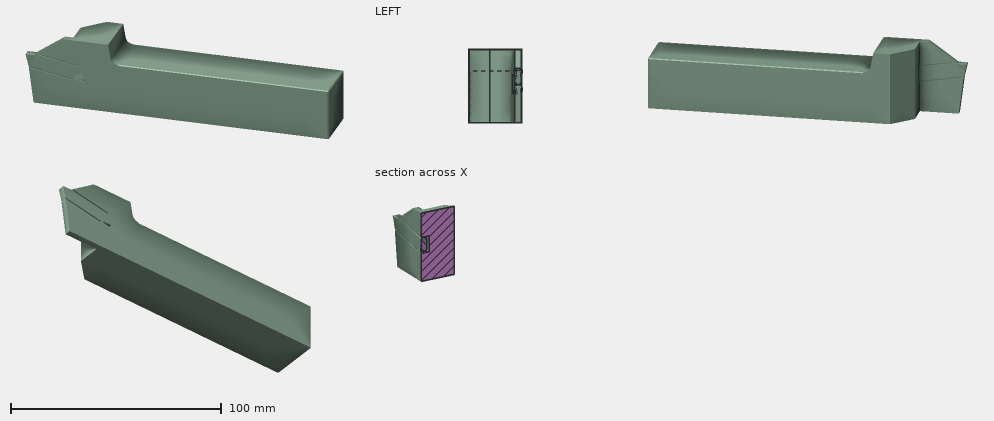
import cadquery as cq
import math

length = 150.0
shank_size = 25.0
shank_start = 45.6
edge_chamfer = 0.5
total_height = 35.0
head_top_start = 18.6
head_top_end = 40.8
back_wall_lean = 10.0
run_out_radius = 3.6
heel_x = 3.9
ramp_foot_x = 4.3

blade_thickness = 3.1
step_x = 22.6
step_corner_y = 15.0

insert_center = (14.47, 20.1)
insert_tilt = 10.0
tip_z = 24.9
flank_bottom = (1.3, 18.9)
rake_length = 4.3
tongue_height = 0.7
tongue_setback = 0.6
tongue_end_x = 23.0
nose_kink_z = 23.5
nose_foot_z = 21.6
nose_overhang = 0.3
pocket_depth = 4.5
pocket_end_clearance = 0.5

tilt_slope = math.tan(math.radians(insert_tilt))


def half_turn(point):
    """Opposite point of the two-ended insert."""
    return (2 * insert_center[0] - point[0], 2 * insert_center[1] - point[1])


def seat_z(x):
    """Height of the lower insert flank edge at x."""
    return flank_bottom[1] - (x - flank_bottom[0]) * tilt_slope


def plate(points, y_start, y_end):
    """Extrude an XZ outline between two Y positions."""
    return (
        cq.Workplane("XZ", origin=(0, y_start, 0))
        .polyline(points).close()
        .extrude(y_start - y_end)
    )


tip = (0.0, tip_z)
rake_end = (rake_length, tip_z)
ramp_slope = (total_height - tip_z) / (head_top_start - ramp_foot_x)
tongue_start_x = half_turn((tongue_end_x, 0))[0]
ramp_end = (tongue_start_x, tip_z + (tongue_start_x - rake_length) * ramp_slope)
upper_start = half_turn((tongue_end_x, seat_z(tongue_end_x)))
front_half = [flank_bottom, tip, rake_end, ramp_end, upper_start]
insert_outline = front_half + [half_turn(p) for p in front_half]

clearance_slope = flank_bottom[0] / (tip_z - flank_bottom[1])
tongue_front_x = flank_bottom[0] + tongue_height * clearance_slope
lower_tongue = [
    flank_bottom,
    (tongue_end_x, seat_z(tongue_end_x)),
    (tongue_end_x, seat_z(tongue_end_x) - tongue_height),
    (tongue_front_x, seat_z(tongue_front_x) - tongue_height),
]
upper_tongue = [half_turn(p) for p in lower_tongue]


def make_nose():
    """Front cutting nose, widest at the rake face and relieved downwards."""
    foot_x = (tip_z - nose_foot_z) * clearance_slope
    side = plate([tip, rake_end, (rake_length, nose_kink_z), (foot_x, nose_foot_z)],
                 -nose_overhang, blade_thickness + nose_overhang)
    relief = (
        cq.Workplane("YZ")
        .polyline([
            (-nose_overhang, tip_z),
            (blade_thickness + nose_overhang, tip_z),
            (blade_thickness, nose_foot_z),
            (0, nose_foot_z),
        ]).close()
        .extrude(rake_length)
    )
    return side.intersect(relief)


def make_insert():
    body = plate(insert_outline, 0, blade_thickness)
    for tongue in (lower_tongue, upper_tongue):
        body = body.union(plate(tongue, tongue_setback, blade_thickness - tongue_setback))
    nose = make_nose()
    axis_start = (insert_center[0], 0, insert_center[1])
    axis_end = (insert_center[0], 1, insert_center[1])
    return body.union(nose).union(nose.rotate(axis_start, axis_end, 180))


def make_pocket():
    """Recess for the insert and its tongues, open to the front of the blade."""
    rear_tip = half_turn(tip)
    corner_x = rear_tip[0] + pocket_end_clearance
    rear_clearance = [rear_tip, (corner_x, seat_z(corner_x)), (tongue_end_x, seat_z(tongue_end_x))]
    pocket = plate(insert_outline, 0, pocket_depth)
    pocket = pocket.union(plate(rear_clearance, 0, pocket_depth))
    for tongue in (lower_tongue, upper_tongue):
        pocket = pocket.union(plate(tongue, 0, pocket_depth))
    return pocket


def make_head():
    """Head with its front ramp, leaning back wall and concave run-out to the shank."""
    wall_slope = math.tan(math.radians(back_wall_lean))
    wall_foot_x = head_top_end + (total_height - shank_size) * wall_slope
    tongue_front = lower_tongue[-1]
    head = (
        cq.Workplane("XZ")
        .moveTo(heel_x, 0)
        .lineTo(*tongue_front)
        .lineTo(*flank_bottom)
        .lineTo(*tip)
        .lineTo(ramp_foot_x, tip_z)
        .lineTo(head_top_start, total_height)
        .lineTo(head_top_end, total_height)
        .lineTo(wall_foot_x, shank_size)
        .lineTo(shank_start, shank_size)
        .lineTo(shank_start, 0)
        .close()
        .extrude(-shank_size)
        .edges(cq.selectors.NearestToPointSelector((wall_foot_x, shank_size / 2, shank_size)))
        .fillet(run_out_radius)
    )
    chamfer_run = shank_size - step_corner_y
    plan = (
        cq.Workplane("XY")
        .polyline([
            (0, 0), (shank_start, 0), (shank_start, shank_size),
            (step_x + chamfer_run, shank_size), (step_x, step_corner_y),
            (step_x, blade_thickness), (0, blade_thickness),
        ]).close()
        .extrude(total_height)
    )
    return head.intersect(plan)


def make_shank():
    """Square bar with broken top edges and broken edges at its end face."""
    return (
        cq.Workplane("XY")
        .box(length - shank_start, shank_size, shank_size, centered=False)
        .translate((shank_start, 0, 0))
        .edges("(|X and >Z) or (|Y and >X and >Z) or (|Z and >X)")
        .chamfer(edge_chamfer)
    )


holder = make_head().union(make_shank()).cut(make_pocket())
insert = make_insert()

result = cq.Compound.makeCompound([holder.val(), insert.val()])